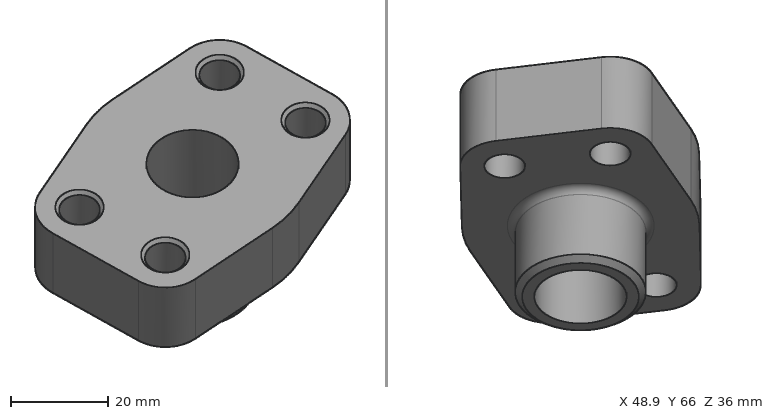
import cadquery as cq
import math

length = 66.0
width = 48.9
flange_thickness = 18.0
bolt_x = 11.1
bolt_y = 23.8
corner_radius = length / 2 - bolt_y
side_radius = width / 2

bolt_hole_diameter = 8.4
bolt_chamfer = 0.8
bolt_chamfer_angle = 90

total_height = 36.0
spigot_diameter = 26.9
spigot_length = total_height - flange_thickness
spigot_chamfer_width = 1.45
spigot_chamfer_height = 1.2
root_fillet = 1.65
bore_diameter = 19.0


def polar(radius, angle, center=(0, 0)):
    return (center[0] + radius * math.cos(angle), center[1] + radius * math.sin(angle))


def make_flange():
    bolt_distance = math.hypot(bolt_x, bolt_y)
    flank_angle = math.atan2(bolt_y, bolt_x) - math.acos((side_radius - corner_radius) / bolt_distance)
    corner_middle_angle = (flank_angle + math.pi / 2) / 2
    corner = (bolt_x, bolt_y)
    quarter = (
        cq.Workplane("XY")
        .lineTo(side_radius, 0)
        .threePointArc(polar(side_radius, flank_angle / 2), polar(side_radius, flank_angle))
        .lineTo(*polar(corner_radius, flank_angle, corner))
        .threePointArc(polar(corner_radius, corner_middle_angle, corner), (bolt_x, length / 2))
        .lineTo(0, length / 2)
        .close()
        .extrude(flange_thickness)
    )
    half = quarter.union(quarter.mirror("YZ"))
    return half.union(half.mirror("XZ")).clean()


def make_spigot():
    radius = spigot_diameter / 2
    fillet_middle = polar(root_fillet, math.radians(135), (radius + root_fillet, -root_fillet))
    return (
        cq.Workplane("XZ")
        .lineTo(radius + root_fillet, 0)
        .threePointArc(fillet_middle, (radius, -root_fillet))
        .lineTo(radius, spigot_chamfer_height - spigot_length)
        .lineTo(radius - spigot_chamfer_width, -spigot_length)
        .lineTo(0, -spigot_length)
        .close()
        .revolve(360, (0, 0, 0), (0, 1, 0))
    )


body = make_flange().union(make_spigot())

body = body.faces(">Z").workplane(origin=(0, 0, 0)).hole(bore_diameter)

result = (
    body.faces(">Z")
    .workplane(origin=(0, 0, 0))
    .rect(2 * bolt_x, 2 * bolt_y, forConstruction=True)
    .vertices()
    .cskHole(bolt_hole_diameter, bolt_hole_diameter + 2 * bolt_chamfer, bolt_chamfer_angle)
)